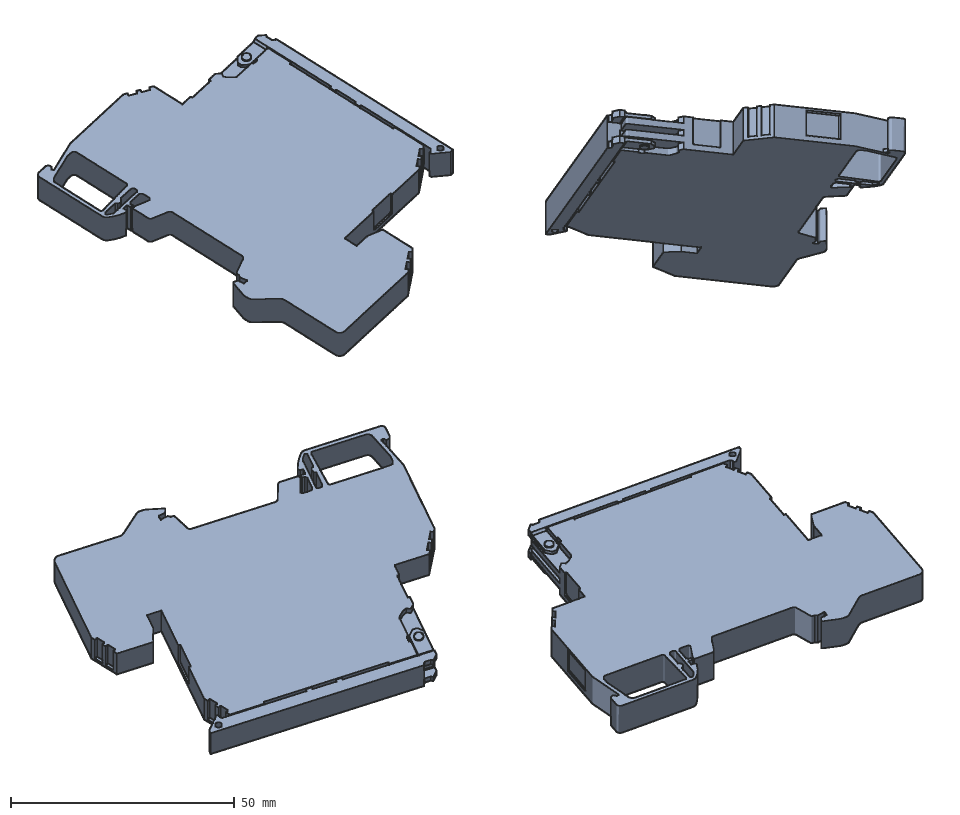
import cadquery as cq
import math

WIDTH = 82.5
HEIGHT = 65.0
THICKNESS = 8.0

TOWER_LEFT = 12.05
TOWER_RIGHT = 65.2
SHOULDER_Y = 36.9
BEVEL_RUN = 3.7
BEVEL_RISE = 6.2
RAIL_TOP = 10.9
RAIL_LIP = 6.1
RIGHT_FLOOR = 6.9
CORNER_RADIUS = 1.0

LID_BOTTOM = 62.0
LID_GAP = 0.25
LID_LEFT = 12.3
LID_RIGHT = 67.3
TOWER_TOP = LID_BOTTOM - LID_GAP

PLATE_THICKNESS = 1.65
PIVOT_X = 14.1
PIVOT_Y = 56.9
PIVOT_RADIUS = 1.1
EAR_THICKNESS = 0.8
EAR_INSET = 0.6
PIVOT_HEIGHT = 0.3
EAR_LEFT = 12.4
EAR_RIGHT = 16.0
EAR_TIP = 54.5
POCKET_RIGHT = 16.3
POCKET_OVERCUT = 0.8
CENTRE_SLOT = 1.4


def rounded_prism(corners, z_from, z_to):
    """Extrude a closed polygon whose corners are (x, y) or (x, y, fillet radius)."""
    path = None
    for index, corner in enumerate(corners):
        x, y = corner[:2]
        radius = corner[2] if len(corner) > 2 else 0
        stops = [(x, y)]
        if radius:
            before = corners[index - 1]
            after = corners[(index + 1) % len(corners)]
            toward_before = math.atan2(before[1] - y, before[0] - x)
            toward_after = math.atan2(after[1] - y, after[0] - x)
            half = math.acos(math.cos(toward_after - toward_before)) / 2
            setback = radius / math.tan(half)
            apex = radius / math.sin(half) - radius
            bisector = math.atan2(
                math.sin(toward_before) + math.sin(toward_after),
                math.cos(toward_before) + math.cos(toward_after),
            )
            legs = ((toward_before, setback), (bisector, apex), (toward_after, setback))
            stops = [(x + d * math.cos(a), y + d * math.sin(a)) for a, d in legs]
        if path is None:
            path = cq.Workplane("XY").workplane(offset=z_from).moveTo(*stops[0])
        else:
            path = path.lineTo(*stops[0])
        if radius:
            path = path.threePointArc(stops[1], stops[2])
    return path.close().extrude(z_to - z_from)


def block(x_from, x_to, y_from, y_to, z_from, z_to):
    """Axis-aligned box given by its limits."""
    size = (x_to - x_from, y_to - y_from, z_to - z_from)
    return cq.Workplane("XY").box(*size, centered=False).translate((x_from, y_from, z_from))


def mirrored_in_thickness(shape):
    """The shape together with its mirror image about the middle of the thickness."""
    return shape.union(shape.mirror("XY", (0, 0, THICKNESS / 2)))


def housing():
    """Full-thickness outline of the housing with the rail foot."""
    left_bevel = [
        (0, SHOULDER_Y - BEVEL_RISE),
        (BEVEL_RUN, SHOULDER_Y),
        (TOWER_LEFT, SHOULDER_Y),
        (TOWER_LEFT, TOWER_TOP, 0.5),
    ]
    tower_right_and_shoulder = [
        (TOWER_RIGHT - BEVEL_RUN, TOWER_TOP),
        (TOWER_RIGHT, TOWER_TOP - BEVEL_RISE),
        (TOWER_RIGHT, 29.45),
        (68.6, 29.45),
        (68.6, 33.2),
        (70.05, SHOULDER_Y),
        (WIDTH - BEVEL_RUN, SHOULDER_Y),
        (WIDTH, SHOULDER_Y - BEVEL_RISE),
    ]
    right_foot = [
        (WIDTH, RIGHT_FLOOR, 1.5),
        (65.75, RIGHT_FLOOR, 1.65),
        (60.15, 2.15, 1.6),
        (58.4, 2.15, 3.3),
        (53.95, 3.55, 0.3),
        (54.6, 4.7, 0.3),
        (56.2, 4.9),
        (56.2, RAIL_LIP),
        (55.2, 5.85),
        (54.3, 5.7),
        (53.8, RAIL_LIP),
        (53.0, RAIL_LIP, 0.3),
        (51.2, RAIL_TOP, 0.8),
    ]
    left_foot = [
        (29.95, RAIL_TOP, 0.8),
        (28.0, RAIL_LIP, 0.8),
        (22.85, RAIL_LIP),
        (22.85, 6.8),
        (24.5, RAIL_TOP, 0.5),
        (21.4, RAIL_TOP, 0.8),
        (21.4, 7.3),
        (21.8, 6.85),
        (22.4, 6.85),
        (22.4, RAIL_LIP),
        (21.4, RAIL_LIP),
        (21.4, 4.8),
        (22.1, 4.8),
        (22.5, 4.3),
        (21.7, 2.15, 10.7),
        (19.8, 0, 1.7),
    ]
    left_hook = [
        (0, 0, CORNER_RADIUS),
        (0, 4.05, 0.8),
        (1.15, 4.05),
        (1.6, 3.5),
        (2.15, 3.6),
        (0, 12.0),
    ]
    outline = left_bevel + tower_right_and_shoulder + right_foot + left_foot + left_hook
    web = rounded_prism([(1.0, 3.7), (2.15, 3.6), (1.8, 4.9)], 0, 0.8)
    return rounded_prism(outline, 0, THICKNESS).union(web)


def foot_windows():
    """Large window and narrow spring slot through the left foot."""
    window = rounded_prism(
        [
            (1.9, RAIL_TOP, 1.0),
            (17.65, RAIL_TOP, 0.5),
            (18.15, 1.0, 0.5),
            (3.9, 1.0, 1.3),
            (1.9, 8.6),
        ],
        0,
        THICKNESS,
    )
    slot = rounded_prism(
        [
            (19.0, RAIL_TOP, 0.75),
            (20.55, RAIL_TOP, 0.5),
            (20.55, 2.2),
            (19.6, 1.0, 0.3),
            (19.0, 1.0, 0.3),
            (19.0, 4.9),
            (19.5, 5.1),
            (19.7, 5.7),
            (19.5, 6.35),
            (19.0, 6.7),
        ],
        0,
        THICKNESS,
    )
    return window.union(slot)


def lid():
    """Lid bar with its left end plates, right latch nose and cross hole."""
    bar = rounded_prism(
        [
            (LID_LEFT, LID_BOTTOM),
            (LID_LEFT, 63.2),
            (13.6, 64.5),
            (14.0, 64.2),
            (15.5, 64.2),
            (EAR_RIGHT, 64.7),
            (EAR_RIGHT, HEIGHT),
            (LID_RIGHT, HEIGHT),
            (LID_RIGHT, 64.1),
            (64.35, 61.0, 0.25),
            (63.8, 61.0),
            (63.8, 61.55),
            (63.4, LID_BOTTOM),
        ],
        0,
        THICKNESS,
    )
    between_plates = block(
        LID_LEFT, EAR_RIGHT, LID_BOTTOM, HEIGHT, PLATE_THICKNESS, THICKNESS - PLATE_THICKNESS
    )
    cross_hole = cq.Workplane("XY").center(64.85, 63.5).circle(0.75).extrude(THICKNESS)
    return bar.cut(between_plates).cut(cross_hole)


def hinge_pockets():
    """Pockets for the ears on both faces and the slot between the two fins."""
    corners = [
        (TOWER_LEFT - POCKET_OVERCUT, LID_BOTTOM),
        (POCKET_RIGHT, LID_BOTTOM),
        (POCKET_RIGHT, 50.65, 0.6),
        (14.85, 49.3),
        (13.95, 48.9),
        (13.1, 49.5, 0.4),
        (TOWER_LEFT, 48.4),
        (TOWER_LEFT - POCKET_OVERCUT, 48.4),
    ]
    pocket_floor = THICKNESS - PLATE_THICKNESS
    face_pocket = rounded_prism(corners, pocket_floor, THICKNESS)
    ear_clearance = block(POCKET_RIGHT, 16.75, 56.2, 57.6, pocket_floor, THICKNESS)
    slot_floor = (THICKNESS - CENTRE_SLOT) / 2
    centre_slot = rounded_prism(corners, slot_floor, slot_floor + CENTRE_SLOT)
    return mirrored_in_thickness(face_pocket.union(ear_clearance)).union(centre_slot)


def hinge_ears():
    """Ears hanging from the lid into the face pockets, each with a pivot pin."""
    ear_top = THICKNESS - EAR_INSET
    ear = rounded_prism(
        [
            (EAR_LEFT, LID_BOTTOM),
            (EAR_RIGHT, LID_BOTTOM),
            (EAR_RIGHT, 55.9, 0.7),
            (14.7, EAR_TIP, 0.25),
            (13.5, EAR_TIP, 0.25),
            (EAR_LEFT, 55.85),
        ],
        ear_top - EAR_THICKNESS,
        ear_top,
    )
    taper = (
        cq.Workplane("YZ")
        .workplane(offset=EAR_LEFT)
        .polyline(
            [(LID_BOTTOM, ear_top), (LID_BOTTOM, THICKNESS), (LID_BOTTOM - EAR_INSET, ear_top)]
        )
        .close()
        .extrude(EAR_RIGHT - EAR_LEFT)
    )
    pin = (
        cq.Workplane("XY")
        .workplane(offset=ear_top)
        .center(PIVOT_X, PIVOT_Y)
        .circle(PIVOT_RADIUS)
        .extrude(PIVOT_HEIGHT)
    )
    return mirrored_in_thickness(ear.union(taper).union(pin))


def lid_joint_grooves():
    """Groove along the joint of lid and tower, widened where the snap teeth sit."""
    z_from = THICKNESS - PLATE_THICKNESS
    groove = block(EAR_RIGHT, TOWER_RIGHT - BEVEL_RUN, TOWER_TOP, LID_BOTTOM, z_from, THICKNESS)
    groove = groove.union(block(23.1, 53.05, 61.3, LID_BOTTOM, z_from, THICKNESS))
    tooth_width = 1.5
    for tooth_left in (34.4, 41.6):
        tooth = block(tooth_left, tooth_left + tooth_width, 61.55, LID_BOTTOM, z_from, THICKNESS)
        groove = groove.cut(tooth)
    return mirrored_in_thickness(groove)


def bevel_slots():
    """Two label slots, open at the upper face, cut square into each of the three sloped corners."""
    depth = 0.75
    floor_z = 0.8
    slot_length = 2.1
    starts = (1.1, 4.1)
    slope_length = math.hypot(BEVEL_RUN, BEVEL_RISE)
    down_x = BEVEL_RUN / slope_length
    down_y = -BEVEL_RISE / slope_length
    slots = cq.Workplane("XY")
    corners = (
        (BEVEL_RUN, SHOULDER_Y, -1),
        (TOWER_RIGHT - BEVEL_RUN, TOWER_TOP, 1),
        (WIDTH - BEVEL_RUN, SHOULDER_Y, 1),
    )
    for bevel_x, bevel_y, outward in corners:
        for start in starts:
            outline = []
            for along, into in (
                (start, -depth),
                (start, depth),
                (start + slot_length, depth),
                (start + slot_length, -depth),
            ):
                x = bevel_x + outward * (down_x * along + down_y * into)
                y = bevel_y + down_y * along - down_x * into
                outline.append((x, y))
            slots = slots.union(rounded_prism(outline, floor_z, THICKNESS))
    return slots


def side_label_recesses():
    """Label seats open at the upper face on both tower sides, and one in the left side."""
    depth = 0.5
    window_depth = 0.4
    wall_lean = 0.3
    y_from = 39.8
    y_to = 46.2
    floor_z = 1.4
    corner_radius = 0.4
    seat = block(TOWER_LEFT, TOWER_LEFT + depth, y_from, y_to, floor_z, THICKNESS + corner_radius)
    seat = seat.edges("|X").fillet(corner_radius)
    opposite_seat = seat.mirror("YZ", ((TOWER_LEFT + TOWER_RIGHT) / 2, 0, 0))
    side_window = block(0, window_depth, 15.3, 23.3, 1.3, 7.4)
    leaning_edges = side_window.faces(">X").edges(">Z or <Y")
    side_window = leaning_edges.chamfer(wall_lean)
    return seat.union(opposite_seat).union(side_window)


body = housing().cut(foot_windows()).cut(bevel_slots()).cut(side_label_recesses())
joint = block(EAR_RIGHT, TOWER_RIGHT - BEVEL_RUN, TOWER_TOP, LID_BOTTOM, 0, THICKNESS)
body = body.union(joint).cut(hinge_pockets())
result = body.union(lid()).cut(lid_joint_grooves()).union(hinge_ears())